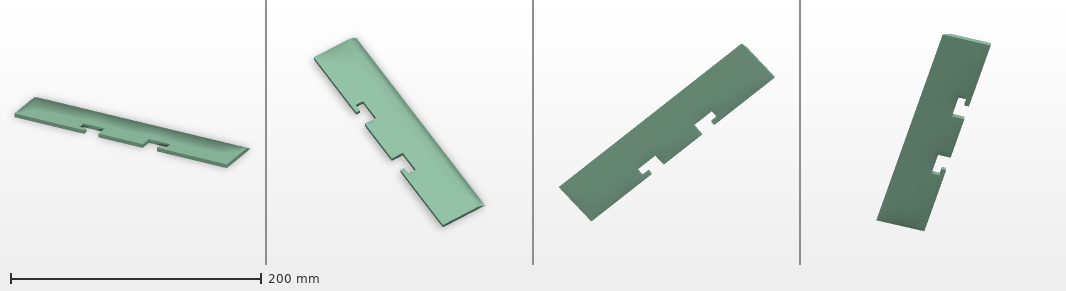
import cadquery as cq

length = 193.0
width = 40.0
thickness = 3.3
bevel_width = 6.2

slot_inner_x = 20.0
slot_outer_x = 39.4
mouth_outer_x = 33.0
slot_depth = 10.5
lip_width = 3.5

rear_y = -width / 2
edge_y = width / 2


def beveled_plate():
    """Plate whose top face slopes down to a sharp front edge."""
    profile = [
        (rear_y, 0),
        (edge_y, 0),
        (edge_y - bevel_width, thickness),
        (rear_y, thickness),
    ]
    return cq.Workplane("YZ").polyline(profile).close().extrude(length / 2, both=True)


def hook_slot(side):
    """Through slot with a narrow mouth, on the +X (side=1) or -X (side=-1) half."""
    lip_y = rear_y + lip_width
    slot_end_y = rear_y + slot_depth
    outline = [
        (side * slot_inner_x, rear_y),
        (side * mouth_outer_x, rear_y),
        (side * mouth_outer_x, lip_y),
        (side * slot_outer_x, lip_y),
        (side * slot_outer_x, slot_end_y),
        (side * slot_inner_x, slot_end_y),
    ]
    return cq.Workplane("XY").polyline(outline).close().extrude(thickness)


result = beveled_plate()
for side in (-1, 1):
    result = result.cut(hook_slot(side))